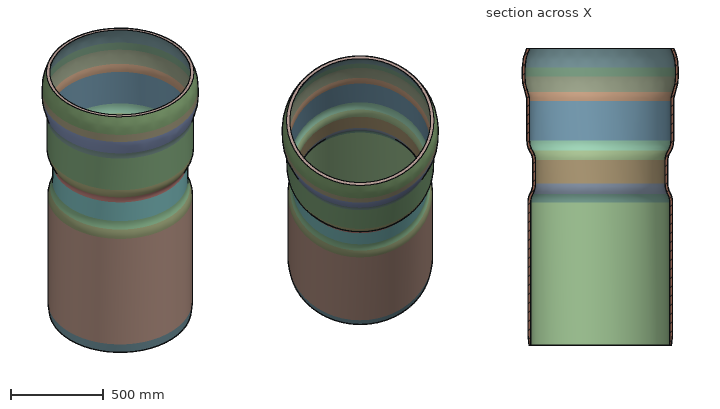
import cadquery as cq
import math

height = 1600.0
wall = 16.0

spigot_radius = 780.0 / 2
waist_radius = 730.0 / 2
barrel_radius = 792.0 / 2
bulge_radius = 842.0 / 2

spigot_top = 770.0
lower_bend_mid = 822.0
waist_bottom = 870.0
waist_top = 997.0
upper_bend_mid = 1040.0
barrel_bottom = 1102.0
barrel_top = 1315.0
bulge_bend_mid = 1357.0
bulge_bottom = 1446.0
bulge_top = 1495.0
rim_arc_radius = 246.0

taper_height = 58.0
taper_depth = 6.0


def double_bend(profile, inset, start_radius, start_z, mid_z, end_radius, end_z):
    """Add two tangent arcs joining two cylinders, inset normal to the outer surface."""
    step = end_radius - start_radius
    rise = end_z - start_z
    mid_fraction = (mid_z - start_z) / rise
    lean = 2 * math.atan2(step, rise)
    mid_radius = start_radius + step * mid_fraction - inset * math.cos(lean)
    inset_mid_z = mid_z + inset * math.sin(lean)
    return (
        profile
        .tangentArcPoint((mid_radius, inset_mid_z), relative=False)
        .tangentArcPoint((end_radius - inset, end_z), relative=False)
    )


def rim_radius(inset):
    """Radius at the top edge, where the inward-curving rim is cut flat."""
    arc_center_radius = bulge_radius - rim_arc_radius
    arc_rise = height - bulge_top
    return arc_center_radius + math.sqrt((rim_arc_radius - inset) ** 2 - arc_rise ** 2)


def revolved_body(inset, end_taper):
    """Solid inside the outer surface moved inward by inset, its foot narrowed by end_taper."""
    profile = (
        cq.Workplane("XZ")
        .moveTo(0, 0)
        .lineTo(spigot_radius - inset - end_taper, 0)
        .lineTo(spigot_radius - inset, taper_height)
        .lineTo(spigot_radius - inset, spigot_top)
    )
    profile = double_bend(
        profile, inset, spigot_radius, spigot_top, lower_bend_mid, waist_radius, waist_bottom
    )
    profile = profile.lineTo(waist_radius - inset, waist_top)
    profile = double_bend(
        profile, inset, waist_radius, waist_top, upper_bend_mid, barrel_radius, barrel_bottom
    )
    profile = profile.lineTo(barrel_radius - inset, barrel_top)
    profile = double_bend(
        profile, inset, barrel_radius, barrel_top, bulge_bend_mid, bulge_radius, bulge_bottom
    )
    return (
        profile
        .lineTo(bulge_radius - inset, bulge_top)
        .tangentArcPoint((rim_radius(inset), height), relative=False)
        .lineTo(0, height)
        .close()
        .revolve(360, (0, 0, 0), (0, 1, 0))
    )


outer_body = revolved_body(inset=0, end_taper=taper_depth)
bore = revolved_body(inset=wall, end_taper=0)
result = outer_body.cut(bore)